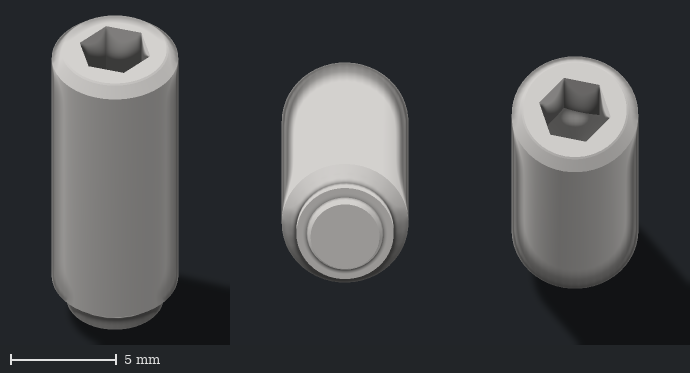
import cadquery as cq
import math


overall_height = 16.0
screw_radius = 6.0 / 2
top_chamfer = 0.53
top_face_radius = 2.45
top_rim_drop = 0.06
nose_radius = 2.3
nose_bottom_z = 0.42
nose_length = 0.69

socket_across_flats = 3.0
socket_depth = 3.52
socket_floor_angle = 120.0

ball_radius = 1.92
ball_flat_radius = 1.63

top_rim_radius = screw_radius - top_chamfer + top_rim_drop
nose_top_z = nose_bottom_z + nose_length
lower_chamfer = screw_radius - nose_radius
socket_corner_radius = socket_across_flats / math.sqrt(3)
socket_tip_height = socket_corner_radius / math.tan(math.radians(socket_floor_angle / 2))
ball_center_z = math.sqrt(ball_radius**2 - ball_flat_radius**2)


def make_ball():
    """Ball cut flat at Z = 0."""
    ball = cq.Workplane("XY").sphere(ball_radius).translate((0, 0, ball_center_z))
    upper_space = cq.Workplane("XY").circle(2 * ball_radius).extrude(3 * ball_radius)
    return ball.intersect(upper_space)


def make_socket():
    """Hexagonal prism, corners on the X axis, ending in a cone at the bottom."""
    prism = (
        cq.Workplane("XY")
        .workplane(offset=overall_height)
        .polygon(6, 2 * socket_corner_radius)
        .extrude(-(socket_depth + socket_tip_height))
    )
    cone_base_z = overall_height - socket_depth
    drill = (
        cq.Workplane("XZ")
        .moveTo(0, overall_height)
        .lineTo(socket_corner_radius, overall_height)
        .lineTo(socket_corner_radius, cone_base_z)
        .lineTo(0, cone_base_z - socket_tip_height)
        .close()
        .revolve(360, (0, 0, 0), (0, 1, 0))
    )
    return prism.intersect(drill)


def make_screw(ball):
    """Turned body with both ends chamfered, a nose, the socket and the ball seat."""
    blank = (
        cq.Workplane("XZ")
        .moveTo(0, nose_bottom_z)
        .lineTo(nose_radius, nose_bottom_z)
        .lineTo(nose_radius, nose_top_z)
        .lineTo(screw_radius, nose_top_z + lower_chamfer)
        .lineTo(screw_radius, overall_height - top_chamfer)
        .lineTo(top_rim_radius, overall_height - top_rim_drop)
        .lineTo(top_face_radius, overall_height)
        .lineTo(0, overall_height)
        .close()
        .revolve(360, (0, 0, 0), (0, 1, 0))
    )
    return blank.cut(make_socket()).cut(ball)


ball = make_ball()
screw = make_screw(ball)

result = cq.Compound.makeCompound([screw.val(), ball.val()])